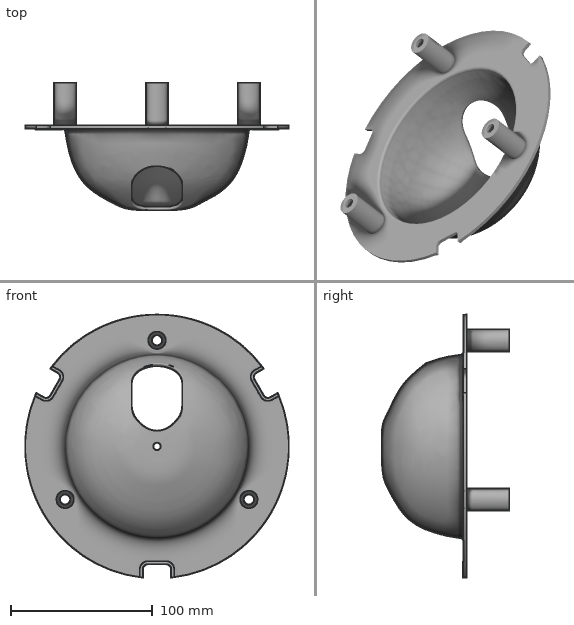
import cadquery as cq
import math

FLANGE_RADIUS = 93.2
SHEET = 2.52

TOLERANCE = 0.02

DOME_DEPTH = 60.2
DOME_RADIUS = 65.0
DOME_SHOULDERS = [(61.9, 19.5), (50.3, 42.1), (30.4, 55.4)]
FOOT_TAPER = 0.08
FOOT_FILLET = 1.9
MOUTH_FILLET = 1.9
APEX_HOLE_RADIUS = 2.52
APEX_FLAT_RADIUS = 3.7
APEX_FILLET = 1.1

WINDOW_TILT = 40.0
WINDOW_WIDTH = 35.5
WINDOW_LENGTH = 55.4
WINDOW_CENTER_Z = 34.5
WINDOW_CENTER_DEPTH = 44.0
WINDOW_FILLET = 0.5

POST_CIRCLE_RADIUS = 75.0
POST_RADIUS = 7.92
POST_LENGTH = 30.0
POST_BORE_RADIUS = 6.2
POST_HOLE_RADIUS = 3.5
POST_FLOOR = SHEET
POST_ANGLES = [90, 210, 330]

NOTCH_HALF_WIDTH = 9.9
NOTCH_FLOOR_RADIUS = 83.3
NOTCH_CORNER = 3.4
BEAD_WIDTH = 2.2
BEAD_RISE = 0.5
NOTCH_TURNS = [0, 120, 240]


def disc(radius, y_start, y_end, x=0.0, z=0.0):
    """Cylinder along Y between two Y positions."""
    return cq.Workplane(cq.Solid.makeCylinder(
        radius, y_end - y_start, cq.Vector(x, y_start, z), cq.Vector(0, 1, 0)))


def around_axis(body, angles):
    """Copies of a body turned about the Y axis."""
    return [body.rotate((0, 0, 0), (0, 1, 0), angle) for angle in angles]


def round_rim(body, radius, y, fillet_radius):
    """Fillet the circular edges of a given radius, centred on the Y axis at a given Y."""
    rims = [
        edge for edge in body.edges("%CIRCLE").vals()
        if math.isclose(edge.radius(), radius, abs_tol=TOLERANCE)
        and math.isclose(edge.Center().y, y, abs_tol=TOLERANCE)
    ]
    return body.newObject(rims).fillet(fillet_radius)


def post_positions():
    """X and Z of each post's axis."""
    for angle in POST_ANGLES:
        turn = math.radians(angle)
        yield POST_CIRCLE_RADIUS * math.cos(turn), POST_CIRCLE_RADIUS * math.sin(turn)


def make_dome(inset):
    """Solid dome starting at the plate's back face, shrunk by an inset in radius and depth."""
    radial = 1 - inset / DOME_RADIUS
    axial = 1 - inset / DOME_DEPTH
    shoulders = [(radius * radial, -depth * axial) for radius, depth in DOME_SHOULDERS]
    apex_y = -DOME_DEPTH * axial
    foot_radius = DOME_RADIUS * radial
    return (
        cq.Workplane("XY")
        .lineTo(foot_radius, 0)
        .lineTo(foot_radius, -SHEET)
        .spline(
            shoulders + [(APEX_FLAT_RADIUS, apex_y)],
            tangents=[(-FOOT_TAPER, -1), (-1, 0)],
            includeCurrent=True,
        )
        .lineTo(0, apex_y)
        .close()
        .revolve(360, (0, 0), (0, 1))
    )


def make_window():
    """Obround cutter square to the slanted part of the dome."""
    tilt = math.radians(WINDOW_TILT)
    plane = cq.Plane(
        origin=(0, -WINDOW_CENTER_DEPTH, WINDOW_CENTER_Z),
        xDir=(0, math.sin(tilt), math.cos(tilt)),
        normal=(0, -math.cos(tilt), math.sin(tilt)),
    )
    reach = DOME_RADIUS / 4
    return cq.Workplane(plane).slot2D(WINDOW_LENGTH, WINDOW_WIDTH).extrude(reach, both=True)


def cut_window(body):
    """Cut the window and round the edges it leaves on the outside of the dome."""
    window = make_window()
    surfaces = [make_dome(0).faces("%BSPLINE or %REVOLUTION").val(), window.val().Shells()[0]]
    body = body.cut(window)
    outer_edges = []
    for edge in body.edges().vals():
        middle = cq.Vertex.makeVertex(*edge.positionAt(0.5).toTuple())
        if all(surface.distance(middle) < TOLERANCE for surface in surfaces):
            outer_edges.append(edge)
    return body.newObject(outer_edges).fillet(WINDOW_FILLET)


def notch_block(margin, y_start, y_end):
    """Round-cornered block filling a notch at -Z, grown by a margin on every side."""
    half_width = NOTCH_HALF_WIDTH + margin
    top = margin - NOTCH_FLOOR_RADIUS
    bottom = -FLANGE_RADIUS - 2 * BEAD_WIDTH
    return (
        cq.Workplane("XY")
        .box(2 * half_width, y_end - y_start, top - bottom)
        .translate((0, (y_start + y_end) / 2, (top + bottom) / 2))
        .edges("|Y and >Z")
        .fillet(NOTCH_CORNER + margin)
    )


def make_bead():
    """Crowned strip swept along the notch edge, clipped to the flange outline."""
    half = BEAD_WIDTH / 2
    x = NOTCH_HALF_WIDTH + half
    z = half - NOTCH_FLOOR_RADIUS
    corner = NOTCH_CORNER + half
    slant = corner * (1 - math.sqrt(0.5))
    end_z = -FLANGE_RADIUS - BEAD_WIDTH
    path = (
        cq.Workplane("XZ")
        .moveTo(-x, end_z)
        .lineTo(-x, z - corner)
        .threePointArc((-x + slant, z - slant), (-x + corner, z))
        .lineTo(x - corner, z)
        .threePointArc((x - slant, z - slant), (x, z - corner))
        .lineTo(x, end_z)
    )
    strip = (
        cq.Workplane("XY", origin=(-x, 0, end_z))
        .moveTo(-half, 0)
        .lineTo(-half, -SHEET)
        .threePointArc((0, -SHEET - BEAD_RISE), (half, -SHEET))
        .lineTo(half, 0)
        .close()
        .sweep(path)
    )
    return strip.intersect(disc(FLANGE_RADIUS, -2 * SHEET, 0))


body = disc(FLANGE_RADIUS, -SHEET, 0).union(make_dome(0))
body = round_rim(body, DOME_RADIUS, -SHEET, FOOT_FILLET)
body = body.cut(make_dome(SHEET))
body = round_rim(body, DOME_RADIUS - SHEET, 0, MOUTH_FILLET)

body = body.cut(disc(APEX_HOLE_RADIUS, -DOME_DEPTH, 0))
body = round_rim(body, APEX_HOLE_RADIUS, -DOME_DEPTH, APEX_FILLET)
body = cut_window(body)

for x, z in post_positions():
    body = body.union(disc(POST_RADIUS, -SHEET, POST_LENGTH, x, z))
    body = body.cut(disc(POST_BORE_RADIUS, -SHEET, POST_LENGTH - POST_FLOOR, x, z))
    body = body.cut(disc(POST_HOLE_RADIUS, -SHEET, POST_LENGTH, x, z))

for notch in around_axis(notch_block(0, -2 * SHEET, SHEET), NOTCH_TURNS):
    body = body.cut(notch)
for bead in around_axis(make_bead(), NOTCH_TURNS):
    body = body.union(bead)

result = body